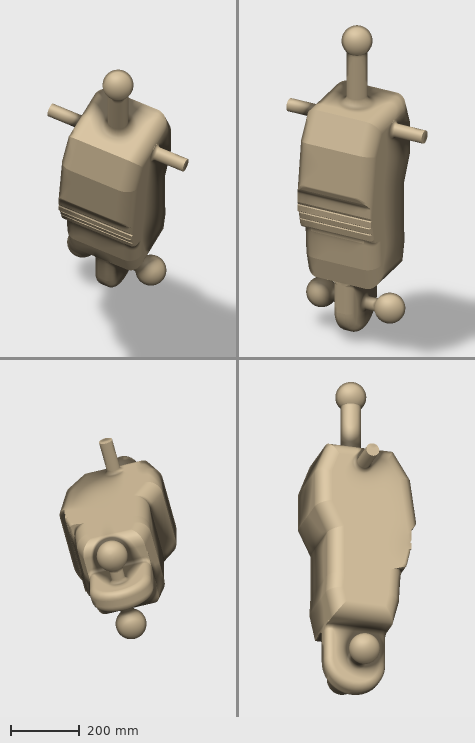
import cadquery as cq
import math

body_half_width = 120.0
body_round = 41.0
body_top = 745.0
body_bottom = 193.0

back_outline = [
    (82.0, body_bottom),
    (100.0, 274.0),
    (97.0, 325.0),
    (97.0, 464.0),
    (135.0, 542.0),
    (135.0, 653.0),
    (100.0, body_top),
]
front_top_corner = (-100.0, body_top)
front_shoulder = (-154.0, 659.0)
belly = (-172.0, 526.0)
waist = (-126.0, 365.0)
front_knee = (-120.0, 266.0)
front_bottom_corner = (-101.0, body_bottom)

grip_bend = (-163.0, 508.0)
grip_top = (-149.0, 490.0)
grip_ridge = (-148.0, 425.0)
grip_bottom = (-136.0, 375.0)
shelf_lip = (-132.0, 369.0)
shelf_slope = 0.35
grip_side_round = 10.0
belly_round = 9.0
grip_root_round = 12.0

skirt_half_width = 86.0
skirt_front = -127.0
skirt_bottom = 357.0

grooves = [(445.0, 11.0), (420.0, 6.0), (396.0, 6.0)]
groove_depth = 4.0
ledge_rise = 2.0

ball_radius = 90.0 / 2
joint_round = 10.0
pin_radius = 40.0 / 2
pin_half_span = 220.0
pin_height = 681.0
shaft_radius = 60.0 / 2
shaft_joint_round = 21.0
total_height = 991.0

lug_thickness = 62.0
lug_radius = 92.0
lug_centre_y = -8.0
lug_round = 21.0
lug_joint_round = 11.0
side_ball_x = 111.0

reach = 396.0
root_depth = 10.0
pick_size = 2.0


def point_on_line(start, end, height):
    """Point at the given height on the line through two (y, z) points."""
    share = (height - start[1]) / (end[1] - start[1])
    return (start[0] + share * (end[0] - start[0]), height)


def shelf_point(y):
    """Point of the sloping shelf plane at the given y."""
    return (y, shelf_lip[1] - shelf_slope * (y - shelf_lip[0]))


def slab(outline, half_width):
    """(y, z) outline extruded evenly to both sides of X = 0."""
    return cq.Workplane("YZ").polyline(outline).close().extrude(half_width, both=True)


def rounded_body(front_outline):
    """Body with the common back and the given front, rounded along both sides."""
    body = slab(back_outline + front_outline, body_half_width)
    return body.faces("<X or >X").edges().fillet(body_round)


def edges_near(part, point):
    """Edges whose middle has nearly the given y and z."""
    y, z = point
    corner = (-reach, y - pick_size, z - pick_size)
    opposite = (reach, y + pick_size, z + pick_size)
    return part.edges(cq.selectors.BoxSelector(corner, opposite))


def middle(start, end):
    return ((start[0] + end[0]) / 2, (start[1] + end[1]) / 2)


def grip_envelope():
    """Everything behind the grip and above the shelf, with the lower grip rounded at its sides."""
    front = [(-reach, reach * 2), (-reach, belly[1]), belly, grip_bend, grip_top]
    lower = [grip_ridge, grip_bottom, shelf_lip]
    back = [shelf_point(reach), (reach, reach * 2)]
    envelope = slab(front + lower + back, body_half_width)
    envelope = edges_near(envelope, grip_top).fillet(grip_root_round)
    sides = edges_near(envelope, middle(grip_ridge, grip_bottom))
    sides = sides.add(edges_near(envelope, middle(grip_bottom, shelf_lip)))
    rounded = sides.fillet(grip_side_round)
    above_ridge = cq.Workplane("XY", origin=(0, 0, grip_ridge[1])).rect(reach * 2, reach * 2).extrude(reach)
    return rounded.union(envelope.intersect(above_ridge))


def groove(ledge, height):
    """Wedge cutter running across the grip, with a ledge at its bottom that falls outward."""
    end = grip_top if ledge > grip_ridge[1] else grip_bottom
    low = point_on_line(grip_ridge, end, ledge)
    high = point_on_line(grip_ridge, end, ledge + height)
    outline = [
        high,
        (low[0] + groove_depth, ledge + ledge_rise),
        low,
        (low[0] - groove_depth, ledge),
        (low[0] - groove_depth, ledge + height),
    ]
    return slab(outline, reach)


def upper_body():
    front_end = point_on_line(front_shoulder, belly, body_bottom)
    body = rounded_body([front_top_corner, front_shoulder, front_end])
    body = body.intersect(grip_envelope())
    body = edges_near(body, belly).fillet(belly_round)
    for ledge, height in grooves:
        body = body.cut(groove(ledge, height))
    return body


def lower_body():
    front_top = point_on_line(front_knee, waist, body_top)
    body = rounded_body([front_top, front_knee, front_bottom_corner])
    above_shelf = [shelf_point(-reach), shelf_point(reach), (reach, reach * 3), (-reach, reach * 3)]
    return body.cut(slab(above_shelf, reach))


def shelf_skirt():
    outline = [
        (skirt_front, skirt_bottom),
        (skirt_front + root_depth, skirt_bottom),
        shelf_point(skirt_front + root_depth),
        shelf_point(skirt_front),
    ]
    return slab(outline, skirt_half_width)


def flared_rod(radius, start, end, flare):
    """Rod along +Z whose foot, at `start`, widens in a concave round."""
    profile = (
        cq.Workplane("XZ")
        .moveTo(0, start - root_depth)
        .lineTo(radius + flare, start - root_depth)
        .lineTo(radius + flare, start)
        .radiusArc((radius, start + flare), flare)
        .lineTo(radius, end)
        .lineTo(0, end)
        .close()
    )
    return profile.revolve(360, (0, 0, 0), (0, 1, 0))


def ball(height):
    return cq.Workplane("XY").sphere(ball_radius).translate((0, 0, height))


def both_sides(part, y, z):
    """Part built along +Z, laid along +X and -X at the given y and z."""
    right = part.rotate((0, 0, 0), (0, 1, 0), 90)
    left = part.rotate((0, 0, 0), (0, 1, 0), -90)
    return right.union(left).translate((0, y, z))


def top_handle():
    ball_height = total_height - ball_radius
    return flared_rod(shaft_radius, body_top, ball_height, shaft_joint_round).union(ball(ball_height))


def side_pins():
    pin = flared_rod(pin_radius, body_half_width, pin_half_span, joint_round)
    return both_sides(pin, 0, pin_height)


def side_balls():
    stem = flared_rod(pin_radius, lug_thickness / 2, side_ball_x, joint_round).union(ball(side_ball_x))
    neck = side_ball_x - math.sqrt(ball_radius**2 - pin_radius**2)
    corner = (-pick_size, -pick_size, neck - pick_size)
    opposite = (pick_size, pick_size, neck + pick_size)
    stem = stem.edges(cq.selectors.BoxSelector(corner, opposite)).fillet(joint_round)
    return both_sides(stem, lug_centre_y, lug_radius)


def lug():
    """Round-ended plate with rounded rims and a concave round against the body."""
    width = 2 * lug_radius
    neck = (
        cq.Workplane("XY", origin=(0, lug_centre_y, lug_radius))
        .rect(lug_thickness, width)
        .extrude(body_bottom - lug_radius)
        .edges("|Z")
        .fillet(lug_round)
    )
    margin = 4 * lug_joint_round
    collar = (
        cq.Workplane("XY", origin=(0, lug_centre_y, body_bottom))
        .rect(lug_thickness + margin, width + margin)
        .extrude(root_depth)
    )
    collar_underside = neck.union(collar).faces("<Z[-2]")
    neck = collar_underside.edges("not(<X or >X or <Y or >Y)").fillet(lug_joint_round)
    trim = cq.Workplane("XY").box(reach, width, reach * 2).translate((0, lug_centre_y, 0))
    disc = (
        cq.Workplane("YZ", origin=(-lug_thickness / 2, lug_centre_y, lug_radius))
        .circle(lug_radius)
        .extrude(lug_thickness)
        .edges()
        .fillet(lug_round)
    )
    return neck.intersect(trim).union(disc)


body = upper_body().union(lower_body()).union(shelf_skirt()).clean()
result = body.union(top_handle()).union(side_pins()).union(lug()).union(side_balls())